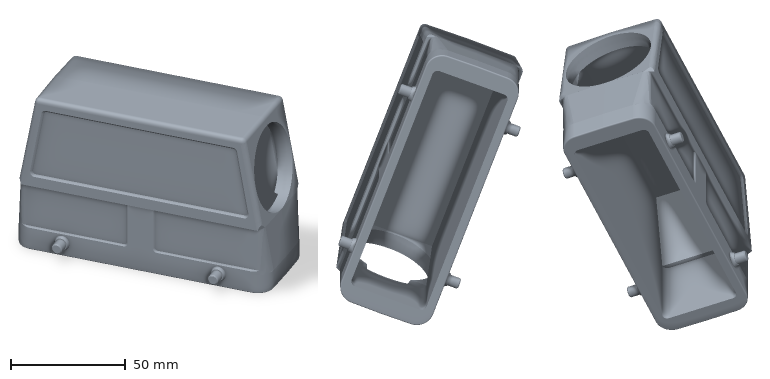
import cadquery as cq

base_half_length = 60.0
base_half_width = 21.4
base_corner_radius = 7.5
base_height = 9.1
base_edge_radius = 0.6
neck_corner_radius = 3.6

end_crown = 0.3
body_bottom = 32.0
body_top = 76.0
body_bottom_half_length = 57.8
body_top_half_length = 49.7
body_half_width = 22.5
body_edge_radius = 2.2
corner_relief_along_end = 4.7
corner_relief_along_side = 2.0
corner_relief_height = 7.5
body_height = body_top - body_bottom
end_slope = (body_bottom_half_length - body_top_half_length) / body_height

label_bottom = 37.0
label_top = 70.8
label_bottom_half_length = 52.0
label_top_half_length = 45.8
label_corner_radius = 2.2
label_depth = 1.0
grip_bottom = 10.7
grip_inner = 6.0
grip_corner_radius = 1.8
grip_depth = 0.7
grip_ridge_radius = 2.4
recess_wall_taper = 45.0
overcut = 12.0

pin_spacing = 73.7
pin_height = 6.4
pin_diameter = 4.8
overall_width = 55.5
pin_tip = overall_width / 2
pin_tip_chamfer = 0.5
collar_diameter = 7.0
collar_tip_diameter = 5.8
collar_tip = 22.9

cavity_half_length = 52.2
cavity_half_width = 17.4
lower_cavity_top = 33.6
upper_end_wall = 7.5
roof_thickness = 4.2
cavity_corner_radius = 2.4
entry_diameter = 40.0
entry_height = 51.8

tolerance = 0.01


def crowned_plan(height, half_length, half_width):
    """Rectangle whose two short ends peak slightly at the middle plane."""
    side = half_length - end_crown
    return cq.Workplane("XY").workplane(offset=height).polyline([
        (half_length, 0), (side, half_width), (-side, half_width),
        (-half_length, 0), (-side, -half_width), (side, -half_width),
    ]).close()


def rounded_crowned_wire(height, half_length, half_width, radius):
    """Crowned rectangle with its four corners rounded; the crown peaks stay sharp."""
    wire = crowned_plan(height, half_length, half_width).val()
    corners = [vertex for vertex in wire.Vertices() if abs(vertex.Y) > half_width / 2]
    return wire.fillet2D(radius, corners)


def make_base():
    foot_wire = rounded_crowned_wire(0, base_half_length, base_half_width, base_corner_radius)
    foot = cq.Workplane(cq.Solid.extrudeLinear(foot_wire, [], cq.Vector(0, 0, base_height)))
    foot = foot.faces("<Z").edges().fillet(base_edge_radius)
    skirt = cq.Solid.makeLoft([
        foot_wire.translate(cq.Vector(0, 0, base_height)),
        rounded_crowned_wire(body_bottom, body_bottom_half_length, base_half_width, neck_corner_radius),
    ], True)
    return foot.union(cq.Workplane(skirt))


def make_body():
    bottom = crowned_plan(body_bottom, body_bottom_half_length, body_half_width).val()
    top = crowned_plan(body_top, body_top_half_length, body_half_width).val()
    body = cq.Workplane(cq.Solid.makeLoft([bottom, top], True))
    gable = cq.Workplane("YZ").polyline([
        (-body_half_width, body_bottom), (body_half_width, body_bottom),
        (body_half_width, body_top - end_crown), (0, body_top), (-body_half_width, body_top - end_crown),
    ]).close().extrude(base_half_length, both=True)
    body = body.intersect(gable)
    outer_edges = [edge for edge in body.edges("not <Z").vals() if abs(edge.Center().y) > tolerance]
    return body.newObject(outer_edges).fillet(body_edge_radius)


def relieve_bottom_corners(body):
    """Slice the four lower corners off with sloping planes, down to the neck of the skirt."""
    x, y, z = body_bottom_half_length, body_half_width, body_bottom
    corner = cq.Vector(x, y, z)
    along_end = cq.Vector(x, y - corner_relief_along_end, z)
    along_side = cq.Vector(x - corner_relief_along_side, y, z)
    above = cq.Vector(x, y, z + corner_relief_height)
    triangles = [
        (corner, along_end, along_side), (corner, along_end, above),
        (corner, along_side, above), (along_end, along_side, above),
    ]
    faces = [cq.Face.makeFromWires(cq.Wire.makePolygon(triangle, close=True)) for triangle in triangles]
    wedge = cq.Workplane(cq.Solid.makeSolid(cq.Shell.makeShell(faces)))
    return body.cut(mirrored_pair(mirrored_pair(wedge, "XZ"), "YZ"))


def tapered_recess(outline, depth, corner_radius):
    """Recess tool standing on the XZ plane and narrowing towards +Y as it gets deeper."""
    wire = cq.Wire.makePolygon([cq.Vector(x, 0, z) for x, z in outline], close=True)
    wire = wire.fillet2D(corner_radius, wire.Vertices())
    return cq.Workplane(cq.Solid.extrudeLinear(wire, [], cq.Vector(0, depth, 0), recess_wall_taper))


def mirrored_pair(tool, plane):
    """The tool together with its mirror image."""
    return tool.union(tool.mirror(plane))


def cut_label_panels(body):
    tool = tapered_recess([
        (-label_bottom_half_length, label_bottom), (label_bottom_half_length, label_bottom),
        (label_top_half_length, label_top), (-label_top_half_length, label_top),
    ], label_depth, label_corner_radius)
    return body.cut(mirrored_pair(tool.translate((0, -body_half_width, 0)), "XZ"))


def cut_grip_panels(base):
    """Four recesses running out past the corners and up under the body, with rounded corner ridges."""
    outer = base_half_length + overcut
    top = body_bottom + overcut
    tool = tapered_recess([
        (grip_inner, grip_bottom), (outer, grip_bottom), (outer, top), (grip_inner, top),
    ], grip_depth, grip_corner_radius)
    tools = mirrored_pair(tool.translate((0, -base_half_width, 0)), "XZ")
    base = base.cut(mirrored_pair(tools, "YZ"))
    face_y = base_half_width - grip_depth
    corner_start = base_half_length - base_corner_radius
    rising_edges = base.edges("not #Z").vals()
    ridges = [
        edge for edge in rising_edges
        if abs(abs(edge.Center().y) - face_y) < tolerance and abs(edge.Center().x) > corner_start
    ]
    return base.newObject(ridges).fillet(grip_ridge_radius)


def make_pins():
    """Pins across the full width, each with a conical collar at both walls."""
    radius = pin_diameter / 2
    half_profile = cq.Workplane("XY").polyline([
        (0, 0), (collar_diameter / 2, 0), (collar_diameter / 2, base_half_width),
        (collar_tip_diameter / 2, collar_tip), (radius, collar_tip),
        (radius, pin_tip - pin_tip_chamfer), (radius - pin_tip_chamfer, pin_tip), (0, pin_tip),
    ]).close()
    pin = mirrored_pair(half_profile.revolve(360, (0, 0), (0, 1)), "XZ").translate((0, 0, pin_height))
    half_spacing = pin_spacing / 2
    return pin.translate((-half_spacing, 0, 0)).union(pin.translate((half_spacing, 0, 0)))


def make_cavity():
    """Straight opening from below, then a shorter chamber whose ends follow the outer slope."""
    lower = cq.Workplane("XY").rect(2 * cavity_half_length, 2 * cavity_half_width)
    lower = lower.extrude(lower_cavity_top).edges("|Z").fillet(cavity_corner_radius)

    def chamber_half_length(height):
        return body_bottom_half_length - end_slope * (height - body_bottom) - upper_end_wall

    chamber_top = body_top - roof_thickness
    bottom_half = chamber_half_length(lower_cavity_top)
    top_half = chamber_half_length(chamber_top)
    upper = cq.Workplane("XZ").polyline([
        (-bottom_half, lower_cavity_top), (bottom_half, lower_cavity_top),
        (top_half, chamber_top), (-top_half, chamber_top),
    ]).close().extrude(cavity_half_width, both=True)
    return lower.union(upper)


def make_cable_entry():
    """Round opening square to the sloping +X end, reaching into the upper chamber."""
    face_x = body_bottom_half_length - end_slope * (entry_height - body_bottom)
    outward = cq.Vector(1, 0, end_slope)
    plane = cq.Plane((face_x, 0, entry_height), (0, 1, 0), outward)
    return cq.Workplane(plane).circle(entry_diameter / 2).extrude(upper_end_wall, both=True)


base = cut_grip_panels(make_base())
body = cut_label_panels(relieve_bottom_corners(make_body()))
result = base.union(body).union(make_pins())
result = result.cut(make_cavity()).cut(make_cable_entry())